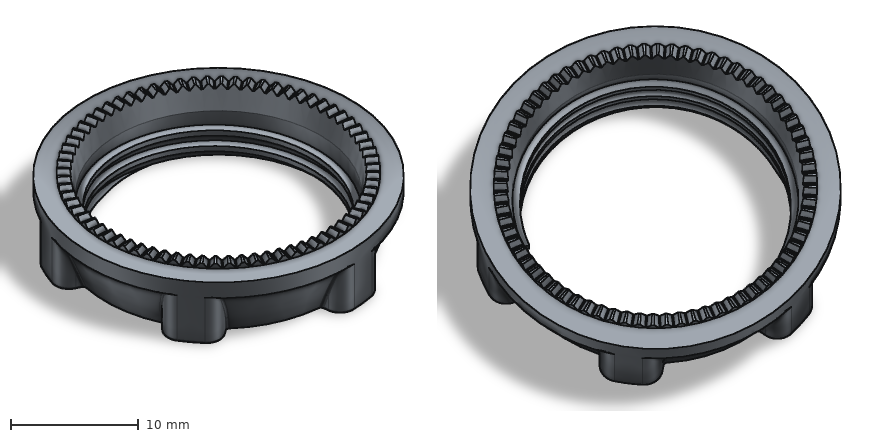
import cadquery as cq
import math

outer_radius = 14.5
flange_top = 6.0
flange_bottom = 4.5

body_top_radius = 14.06
body_taper_angle = 20.0
bottom_edge_radius = 0.3

lug_count = 6
lug_width = 5.0
lug_corner_radius = 1.5
lug_root_radius = 0.25

bore_radius = 11.19
flare_start = 4.25
flare_top_radius = 11.62

tooth_count = 72
tooth_ring_radius = 12.65
tooth_height = 0.5
tooth_gap_floor_height = 0.07
tooth_gap_floor_width = 0.12
tooth_gap_top_width = 0.87

thread_crest_radius = 10.6
thread_pitch = 1.5
thread_turns = 3
thread_top_height = 3.475
thread_crest_width = 0.5
thread_root_width = 0.75
thread_embed = 0.1

total_height = flange_top + tooth_height
thread_start_height = thread_top_height - thread_turns * thread_pitch
body_bottom_radius = body_top_radius - flange_bottom * math.tan(math.radians(body_taper_angle))
cut_margin = 1.0
match_tolerance = 1e-3
seam_angle = -90


def make_lug(index):
    """One lug: parallel sides, an outer face on the flange cylinder and rounded corners."""
    reach = 2 * outer_radius
    block = cq.Workplane("XY").box(reach, lug_width, flange_bottom, centered=(False, True, False))
    disc = cq.Workplane("XY").circle(outer_radius).extrude(flange_bottom)
    disc = disc.rotate((0, 0, 0), (0, 0, 1), 180)
    lug = block.intersect(disc)
    lug = lug.edges("|Z and (>Y or <Y)").edges(">X").fillet(lug_corner_radius)
    return lug.rotate((0, 0, 0), (0, 0, 1), index * 360 / lug_count)


def is_lug_root(edge):
    """True for an edge that climbs the tapered surface where a lug side meets it."""
    box = edge.BoundingBox()
    middle = edge.positionAt(0.5)
    middle_radius = math.hypot(middle.x, middle.y)
    cone_radius = body_bottom_radius + middle.z * math.tan(math.radians(body_taper_angle))
    angle = math.degrees(math.atan2(middle.y, middle.x))
    on_seam = abs(angle - seam_angle) < match_tolerance
    on_cone = abs(middle_radius - cone_radius) < match_tolerance
    return box.zlen > match_tolerance and on_cone and not on_seam


def make_body():
    """Solid tapered body with lugs, blended roots and a rounded bottom edge."""
    profile = [
        (0, 0),
        (body_bottom_radius, 0),
        (body_top_radius, flange_bottom),
        (0, flange_bottom),
    ]
    body = cq.Workplane("XZ").polyline(profile).close().revolve(360, (0, 0), (0, 1))
    body = body.rotate((0, 0, 0), (0, 0, 1), seam_angle)
    for index in range(lug_count):
        body = body.union(make_lug(index))
    roots = [edge for edge in body.edges().vals() if is_lug_root(edge)]
    body = body.newObject(roots).fillet(lug_root_radius)
    return body.faces("<Z").edges().fillet(bottom_edge_radius)


def make_bore():
    """Cutter for the straight bore and the flare above it."""
    profile = [
        (0, -cut_margin),
        (bore_radius, -cut_margin),
        (bore_radius, flare_start),
        (flare_top_radius, total_height),
        (0, total_height),
    ]
    return cq.Workplane("XZ").polyline(profile).close().revolve(360, (0, 0), (0, 1))


def cut_tooth_gaps(ring):
    """Cut the radial gaps that leave the face teeth standing."""
    floor = flange_top + tooth_gap_floor_height
    gap_profile = [
        (-tooth_gap_floor_width / 2, floor),
        (tooth_gap_floor_width / 2, floor),
        (tooth_gap_top_width / 2, total_height),
        (-tooth_gap_top_width / 2, total_height),
    ]
    gap = (
        cq.Workplane("YZ", origin=(bore_radius, 0, 0))
        .polyline(gap_profile)
        .close()
        .extrude(outer_radius - bore_radius)
        .val()
    )
    pitch_angle = 360 / tooth_count
    gaps = [gap.rotate(cq.Vector(), cq.Vector(0, 0, 1), i * pitch_angle) for i in range(tooth_count)]
    return ring.cut(cq.Compound.makeCompound(gaps))


def make_thread():
    """Trapezoidal helical ridge, rooted in the bore wall and trimmed at the bottom face."""
    flank_slope = (thread_root_width - thread_crest_width) / 2 / (bore_radius - thread_crest_radius)
    root_radius = bore_radius + thread_embed
    half_crest = thread_crest_width / 2
    half_root = thread_root_width / 2 + thread_embed * flank_slope
    profile = [
        (thread_crest_radius, thread_start_height - half_crest),
        (root_radius, thread_start_height - half_root),
        (root_radius, thread_start_height + half_root),
        (thread_crest_radius, thread_start_height + half_crest),
    ]
    helix = cq.Wire.makeHelix(
        thread_pitch, thread_pitch * thread_turns, bore_radius, cq.Vector(0, 0, thread_start_height)
    )
    ridge = cq.Workplane("XZ").polyline(profile).close().sweep(cq.Workplane(helix), isFrenet=True)
    above_bottom = cq.Workplane("XY").circle(outer_radius).extrude(total_height)
    return ridge.intersect(above_bottom)


flange = (
    cq.Workplane("XY", origin=(0, 0, flange_bottom))
    .circle(outer_radius)
    .extrude(flange_top - flange_bottom)
    .rotate((0, 0, 0), (0, 0, 1), seam_angle)
)
tooth_ring = cq.Workplane("XY", origin=(0, 0, flange_top)).circle(tooth_ring_radius).extrude(tooth_height)

ring = make_body().union(flange).union(tooth_ring).cut(make_bore())
ring = cut_tooth_gaps(ring)
result = ring.union(make_thread())